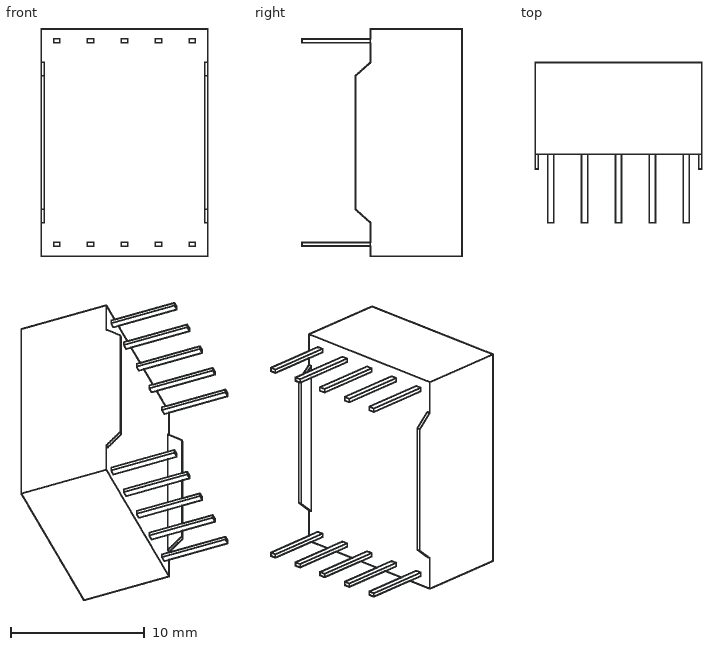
import cadquery as cq

body_width = 12.5
body_height = 17.02
body_depth = 6.88
total_depth = 12.0

pin_length = total_depth - body_depth
pin_width = 0.48
pin_thickness = 0.29
pin_pitch = 2.54
pins_per_row = 5
row_count = 2
row_spacing = 6 * pin_pitch

rail_thickness = 0.25
rail_rise = 1.1
rail_base_length = 11.98
rail_crest_length = 10.0


def make_body():
    """Block with its front face on Y = 0, centred on X and Z."""
    return cq.Workplane("XY").box(
        body_width, body_depth, body_height, centered=(True, False, True)
    )


def make_pins():
    """Both rows of pins, running from the front face towards -Y."""
    return (
        cq.Workplane("XZ")
        .rarray(pin_pitch, row_spacing, pins_per_row, row_count)
        .rect(pin_width, pin_thickness)
        .extrude(pin_length)
    )


def make_rail(x_start):
    """Trapezoidal rail with sloped ends, occupying X from x_start upwards."""
    half_base = rail_base_length / 2
    half_crest = rail_crest_length / 2
    return (
        cq.Workplane("YZ", origin=(x_start, 0, 0))
        .polyline([
            (0, -half_base),
            (-rail_rise, -half_crest),
            (-rail_rise, half_crest),
            (0, half_base),
        ])
        .close()
        .extrude(rail_thickness)
    )


result = make_body().union(make_pins())
for rail_start in (-body_width / 2, body_width / 2 - rail_thickness):
    result = result.union(make_rail(rail_start))
result = result.clean()